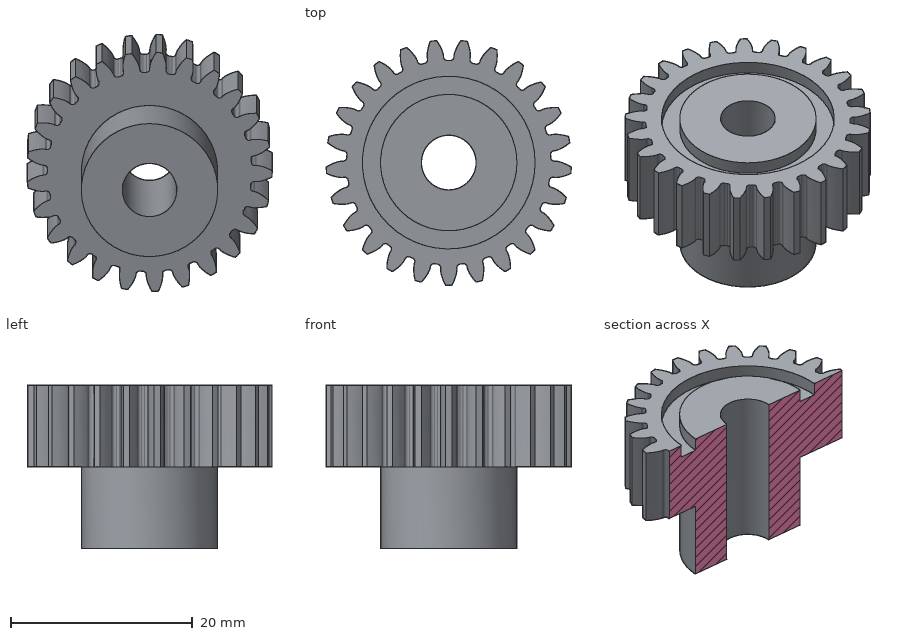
import cadquery as cq
import math

overall_width = 26.98
overall_height = 18.0
face_width = overall_height / 2

hub_diameter = 15.0
bore_diameter = 6.0
recess_diameter = 19.0
recess_depth = 1.5

tooth_count = 25
pressure_angle = math.radians(20.0)
dedendum_factor = 1.25
root_fillet_radius = 0.38
flank_point_count = 7
first_tooth_angle = -math.pi / 2


def involute(angle):
    return math.tan(angle) - angle


def half_tooth_angle(base_ratio):
    """Half the tooth's angular thickness at the radius where base radius / radius is base_ratio."""
    at_pitch = math.pi / (2 * tooth_count)
    return at_pitch + involute(pressure_angle) - involute(math.acos(base_ratio))


pitch_angle = 2 * math.pi / tooth_count
tip_base_ratio = tooth_count * math.cos(pressure_angle) / (tooth_count + 2)
tip_half_angle = half_tooth_angle(tip_base_ratio)
base_half_angle = half_tooth_angle(1.0)

widest_corner_angle = pitch_angle / 4 - tip_half_angle
tip_radius = overall_width / 2 / math.cos(widest_corner_angle)
module = 2 * tip_radius / (tooth_count + 2)
pitch_radius = module * tooth_count / 2
base_radius = pitch_radius * math.cos(pressure_angle)
root_radius = pitch_radius - dedendum_factor * module

fillet_center_radius = root_radius + root_fillet_radius
foot_radius = math.sqrt(fillet_center_radius**2 - root_fillet_radius**2)
root_half_angle = base_half_angle + math.asin(root_fillet_radius / fillet_center_radius)


def polar(radius, angle):
    return (radius * math.cos(angle), radius * math.sin(angle))


def flank_points(tooth_angle, side):
    """Involute points from base circle to tip; side is -1 or +1 about the tooth centreline."""
    points = []
    for step in range(flank_point_count):
        radius = base_radius + (tip_radius - base_radius) * step / (flank_point_count - 1)
        half_angle = half_tooth_angle(min(1.0, base_radius / radius))
        points.append(polar(radius, tooth_angle + side * half_angle))
    return points


def gear_outline():
    """Closed outline running counter-clockwise, tooth by tooth."""
    outline = cq.Workplane("XY", origin=(0, 0, overall_height - face_width))
    outline = outline.moveTo(*polar(root_radius, first_tooth_angle - root_half_angle))
    for tooth in range(tooth_count):
        tooth_angle = first_tooth_angle + tooth * pitch_angle
        rising_flank = flank_points(tooth_angle, -1)
        falling_flank = flank_points(tooth_angle, 1)[::-1]
        gap_angle = tooth_angle + pitch_angle / 2
        next_root_angle = tooth_angle + pitch_angle - root_half_angle
        outline = (
            outline.radiusArc(polar(foot_radius, tooth_angle - base_half_angle), root_fillet_radius)
            .lineTo(*rising_flank[0])
            .spline(rising_flank[1:], includeCurrent=True)
            .threePointArc(polar(tip_radius, tooth_angle), falling_flank[0])
            .spline(falling_flank[1:], includeCurrent=True)
            .lineTo(*polar(foot_radius, tooth_angle + base_half_angle))
            .radiusArc(polar(root_radius, tooth_angle + root_half_angle), root_fillet_radius)
            .threePointArc(polar(root_radius, gap_angle), polar(root_radius, next_root_angle))
        )
    return outline.close()


gear = gear_outline().extrude(face_width)

recess = (
    cq.Workplane("XY", origin=(0, 0, overall_height - recess_depth))
    .circle(recess_diameter / 2)
    .extrude(recess_depth)
)

hub = cq.Workplane("XY").circle(hub_diameter / 2).extrude(overall_height)

bore = cq.Workplane("XY").circle(bore_diameter / 2).extrude(overall_height)

result = gear.cut(recess).union(hub).cut(bore)